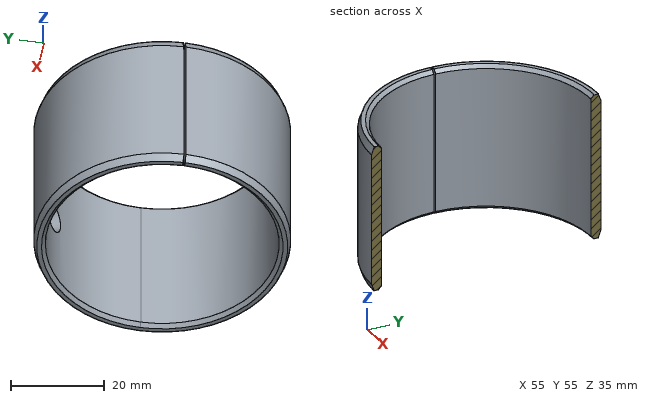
import cadquery as cq

outer_diameter = 55.0
inner_diameter = 50.0
length = 35.0

outer_chamfer_height = 1.8
outer_chamfer_width = 0.65
inner_chamfer = 0.8

slit_width = 0.45

hole_diameter = 8.0
hole_angle = 59.0

outer_radius = outer_diameter / 2
inner_radius = inner_diameter / 2
half_length = length / 2


def make_sleeve():
    """Revolve the wall section, chamfered at all four corners."""
    end_outer_radius = outer_radius - outer_chamfer_width
    end_inner_radius = inner_radius + inner_chamfer
    outer_edge_z = half_length - outer_chamfer_height
    inner_edge_z = half_length - inner_chamfer
    section = (
        cq.Workplane("XZ")
        .moveTo(inner_radius, -inner_edge_z)
        .lineTo(end_inner_radius, -half_length)
        .lineTo(end_outer_radius, -half_length)
        .lineTo(outer_radius, -outer_edge_z)
        .lineTo(outer_radius, outer_edge_z)
        .lineTo(end_outer_radius, half_length)
        .lineTo(end_inner_radius, half_length)
        .lineTo(inner_radius, inner_edge_z)
        .close()
    )
    return section.revolve(360, (0, 0, 0), (0, 1, 0))


def make_slit():
    """Full-length cutter through the wall on the -X side, with one face on the XZ plane."""
    cutter = cq.Workplane("XY").box(outer_radius, slit_width, length)
    return cutter.translate((-outer_radius, slit_width / 2, 0))


def make_oil_hole():
    """Radial cutter through one wall at mid-length."""
    cutter = cq.Workplane("YZ").circle(hole_diameter / 2).extrude(outer_diameter)
    return cutter.rotate((0, 0, 0), (0, 0, 1), hole_angle)


result = make_sleeve().cut(make_slit()).cut(make_oil_hole())